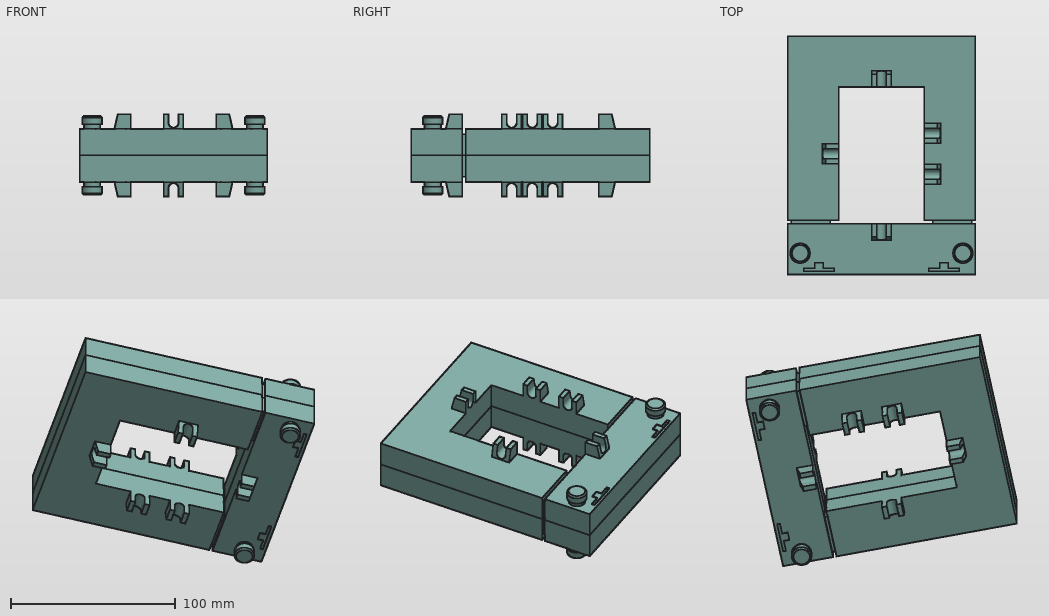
import cadquery as cq

WIDTH = 114.0
LENGTH = 145.0
BODY_HEIGHT = 32.3
TOTAL_HEIGHT = 50.0
WALL = 31.0
GAP = 2.0
EDGE_MARGIN = 2.0

TONGUE_WIDTH = 23.9
TONGUE_HEIGHT = 26.0

CLIP_WIDTH = 12.0
CLIP_BASE_LENGTH = 10.0
CLIP_TOP_LENGTH = 8.0
CLIP_SLOT_WIDTH = 6.0
CLIP_FLOOR = 0.7
LEFT_CLIP_Y = 1.0
RIGHT_CLIP_PITCH = 25.0

SCREW_EDGE_X = 7.5
SCREW_EDGE_Y = 13.0
SCREW_HEAD_DIAMETER = 12.0
SCREW_NECK_DIAMETER = 10.2
SCREW_NECK_HEIGHT = 2.8
SCREW_HEIGHT = 7.8
SCREW_CHAMFER = 1.0

TERMINAL_EDGE_X = 19.0
TERMINAL_BAR_WIDTH = 18.5
TERMINAL_BAR_DEPTH = 1.7
TERMINAL_STEM_WIDTH = 5.1
TERMINAL_STEM_DEPTH = 3.5
TERMINAL_RECESS = 0.5

HALF_HEIGHT = BODY_HEIGHT / 2
CLIP_HEIGHT = (TOTAL_HEIGHT - BODY_HEIGHT) / 2
FRONT_Y = -LENGTH / 2
BACK_Y = LENGTH / 2
BAR_BACK_Y = FRONT_Y + WALL
LEG_FRONT_Y = BAR_BACK_Y + GAP
WINDOW_BACK_Y = BACK_Y - WALL
WINDOW_HALF_WIDTH = WIDTH / 2 - WALL
SIDES = (-1, 1)


def block(x_start, x_end, y_start, y_end, z_start, z_end):
    """Box between opposite corners."""
    size = (x_end - x_start, y_end - y_start, z_end - z_start)
    return cq.Workplane("XY").box(*size, centered=False).translate((x_start, y_start, z_start))


def frame():
    """U-shaped frame and crossbar, joined by a tongue at each leg."""
    half_width = WIDTH / 2
    outer = block(-half_width, half_width, LEG_FRONT_Y, BACK_Y, 0, HALF_HEIGHT)
    window = block(-WINDOW_HALF_WIDTH, WINDOW_HALF_WIDTH, LEG_FRONT_Y, WINDOW_BACK_Y, 0, HALF_HEIGHT)
    crossbar = block(-half_width, half_width, FRONT_Y, BAR_BACK_Y, 0, HALF_HEIGHT)
    body = outer.cut(window).union(crossbar)
    tongue_x = half_width - EDGE_MARGIN - TONGUE_WIDTH / 2
    for side in SIDES:
        tongue = block(
            side * tongue_x - TONGUE_WIDTH / 2, side * tongue_x + TONGUE_WIDTH / 2,
            BAR_BACK_Y, LEG_FRONT_Y, 0, TONGUE_HEIGHT / 2,
        )
        body = body.union(tongue)
    return body


def clip(x, y, turn):
    """Clip with a round-bottomed slot; its upright face is at (x, y), its sloped back at +X before turning."""
    cheeks = (
        cq.Workplane("XZ")
        .polyline([(0, 0), (CLIP_BASE_LENGTH, 0), (CLIP_TOP_LENGTH, CLIP_HEIGHT), (0, CLIP_HEIGHT)])
        .close()
        .extrude(CLIP_WIDTH / 2, both=True)
    )
    radius = CLIP_SLOT_WIDTH / 2
    slot = (
        cq.Workplane("YZ")
        .moveTo(-radius, CLIP_HEIGHT)
        .lineTo(-radius, CLIP_FLOOR + radius)
        .threePointArc((0, CLIP_FLOOR), (radius, CLIP_FLOOR + radius))
        .lineTo(radius, CLIP_HEIGHT)
        .close()
        .extrude(CLIP_BASE_LENGTH)
    )
    turned = cheeks.cut(slot).rotate((0, 0, 0), (0, 0, 1), turn)
    return turned.translate((x, y, HALF_HEIGHT))


def clips():
    """Clips around the window: one on each side, two on the right leg."""
    return [
        clip(0, WINDOW_BACK_Y, 90),
        clip(0, BAR_BACK_Y, -90),
        clip(-WINDOW_HALF_WIDTH, LEFT_CLIP_Y, 180),
        clip(WINDOW_HALF_WIDTH, LEFT_CLIP_Y + RIGHT_CLIP_PITCH / 2, 0),
        clip(WINDOW_HALF_WIDTH, LEFT_CLIP_Y - RIGHT_CLIP_PITCH / 2, 0),
    ]


def screw(side):
    """Chamfered screw head on a narrower neck."""
    neck = cq.Workplane("XY").circle(SCREW_NECK_DIAMETER / 2).extrude(SCREW_NECK_HEIGHT)
    head = (
        cq.Workplane("XY", origin=(0, 0, SCREW_NECK_HEIGHT))
        .circle(SCREW_HEAD_DIAMETER / 2)
        .extrude(SCREW_HEIGHT - SCREW_NECK_HEIGHT)
        .faces(">Z")
        .chamfer(SCREW_CHAMFER)
    )
    place = (side * (WIDTH / 2 - SCREW_EDGE_X), FRONT_Y + SCREW_EDGE_Y, HALF_HEIGHT)
    return neck.union(head).translate(place)


def terminal_recess(side):
    """Shallow T-shaped recess beside the front edge."""
    x = side * (WIDTH / 2 - TERMINAL_EDGE_X)
    bar_front = FRONT_Y + EDGE_MARGIN
    bar_back = bar_front + TERMINAL_BAR_DEPTH
    floor = HALF_HEIGHT - TERMINAL_RECESS
    half_bar = TERMINAL_BAR_WIDTH / 2
    half_stem = TERMINAL_STEM_WIDTH / 2
    bar = block(x - half_bar, x + half_bar, bar_front, bar_back, floor, HALF_HEIGHT)
    stem = block(x - half_stem, x + half_stem, bar_back, bar_back + TERMINAL_STEM_DEPTH, floor, HALF_HEIGHT)
    return bar.union(stem)


def housing_half():
    """Upper half of the housing, resting on the joint plane."""
    half = frame()
    for item in clips():
        half = half.union(item)
    for side in SIDES:
        half = half.union(screw(side))
        half = half.cut(terminal_recess(side))
    return half


upper_half = housing_half()
lower_half = upper_half.mirror("XY")

result = cq.Compound.makeCompound([upper_half.val(), lower_half.val()])